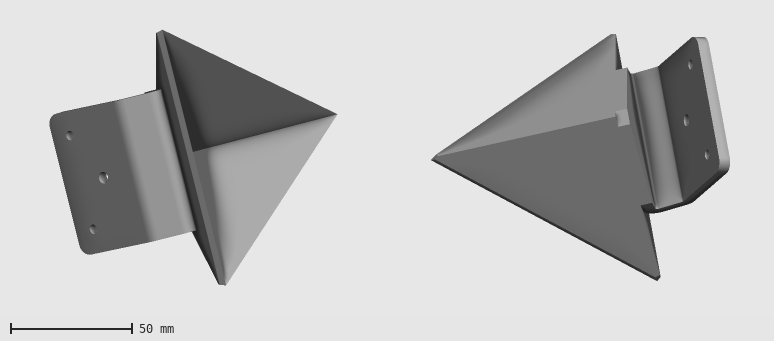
import cadquery as cq
import math

tip_reach = 79.1
plate_thickness = 2.1
rim_bevel = 45.0
rim_slope = math.sqrt(2) * math.tan(math.radians(rim_bevel))
outer_leg = tip_reach - (rim_slope - 1) * plate_thickness
tip_side_slope = 0.3

bracket_thickness = 5.0
bracket_width = 60.0
toe_cut = 4.9
leg_top = 45.5
wall_length = 20.2
wall_tilt = 11.0
flange_length = 39.5
flange_angle = math.degrees(math.atan(math.sqrt(2)))
bend_inner_radius = 1.0
bend_outer_radius = bend_inner_radius + bracket_thickness
flange_corner_radius = 5.0

centre_hole_diameter = 5.0
centre_hole_setback = 21.8
side_hole_diameter = 4.0
side_hole_setback = 9.6
side_hole_spacing = 39.9

section_plane = cq.Plane(origin=(0, 0, 0), xDir=(1, 0, 1), normal=(-1, 0, 1))


def along(point, direction, distance):
    """Point reached by moving a distance along a direction."""
    return (point[0] + direction[0] * distance, point[1] + direction[1] * distance)


def bracket_direction(angle):
    """Unit section direction turned from -Y towards the reflector corner."""
    return (-math.sin(math.radians(angle)), -math.cos(math.radians(angle)))


def inside_corner(outer_corner, direction, turn):
    """Inner corner of a bend, given the direction leaving it and its turn in degrees."""
    inward = (direction[1], -direction[0])
    shift = bracket_thickness * math.tan(math.radians(turn / 2))
    return along(along(outer_corner, inward, bracket_thickness), direction, shift)


def remove_beyond(body, point, normal):
    """Cut away everything on the side of a plane that its normal points to."""
    block = (
        cq.Workplane(cq.Plane(origin=point, normal=normal))
        .rect(4 * tip_reach, 4 * tip_reach)
        .extrude(2 * tip_reach)
    )
    return body.cut(block)


def make_reflector():
    """Corner shell with bevelled rims and obliquely cut tips."""
    shell = cq.Workplane("XY").box(tip_reach, tip_reach, tip_reach, centered=False)
    inset = (plate_thickness, plate_thickness, plate_thickness)
    shell = shell.cut(shell.translate(inset))

    shell = remove_beyond(shell, (outer_leg, 0, 0), (1, -rim_slope, 1))
    shell = remove_beyond(shell, (0, outer_leg, 0), (-rim_slope, 1, 1))
    shell = remove_beyond(shell, (0, outer_leg, 0), (1, 1, -rim_slope))

    near, far = plate_thickness, tip_reach
    shell = remove_beyond(shell, (far, near, near), (1, -tip_side_slope, -rim_slope))
    shell = remove_beyond(shell, (near, far, near), (-rim_slope, 1, -tip_side_slope))
    shell = remove_beyond(shell, (near, near, far), (-rim_slope, -tip_side_slope, 1))
    return shell


def make_bracket():
    """Foot against the reflector, tilted wall and drilled flange."""
    wall_direction = bracket_direction(wall_tilt)
    flange_direction = bracket_direction(flange_angle)
    flange_normal = (flange_direction[1], -flange_direction[0])

    outer_first = (leg_top, 0)
    outer_second = along(outer_first, wall_direction, wall_length)
    outer_end = along(outer_second, flange_direction, flange_length)
    inner_first = inside_corner(outer_first, wall_direction, 90 + wall_tilt)
    inner_second = inside_corner(outer_second, flange_direction, flange_angle - wall_tilt)
    inner_end = along(outer_end, flange_normal, bracket_thickness)
    toe = toe_cut / math.sqrt(2)

    bracket = (
        cq.Workplane(section_plane)
        .polyline([
            (toe, 0), outer_first, outer_second, outer_end,
            inner_end, inner_second, inner_first, (toe, -bracket_thickness),
        ])
        .close()
        .extrude(bracket_width / 2, both=True)
    )

    def bend_edge(corner):
        return cq.selectors.NearestToPointSelector(section_plane.toWorldCoords(corner).toTuple())

    for corner in (outer_first, outer_second):
        bracket = bracket.edges(bend_edge(corner)).fillet(bend_outer_radius)
    for corner in (inner_first, inner_second):
        bracket = bracket.edges(bend_edge(corner)).fillet(bend_inner_radius)

    flange_plane = cq.Plane(
        origin=section_plane.toWorldCoords(outer_end).toTuple(),
        xDir=(1, 0, -1),
        normal=(1, -2, 1),
    )

    for side in (-1, 1):
        end_corner = flange_plane.toWorldCoords((side * bracket_width / 2, 0, -bracket_thickness / 2))
        bracket = bracket.edges(
            cq.selectors.NearestToPointSelector(end_corner.toTuple())
        ).fillet(flange_corner_radius)

    holes = [(0, centre_hole_setback, centre_hole_diameter)]
    for side in (-1, 1):
        holes.append((side * side_hole_spacing / 2, side_hole_setback, side_hole_diameter))
    for across, setback, diameter in holes:
        drill = (
            cq.Workplane(flange_plane)
            .center(across, setback)
            .circle(diameter / 2)
            .extrude(-bracket_thickness)
        )
        bracket = bracket.cut(drill)

    for outward in ((-1, 0, 0), (0, 0, -1)):
        along_face = (-outward[2], 0, -outward[0])
        face_plane = cq.Plane(origin=(0, -bracket_thickness / 2, 0), xDir=along_face, normal=outward)
        trim = (
            cq.Workplane(face_plane)
            .rect(2 * tip_reach, bracket_thickness)
            .extrude(bracket_width)
        )
        bracket = bracket.cut(trim)
    return bracket


reflector = make_reflector()
bracket = make_bracket()
result = cq.Compound.makeCompound([reflector.val(), bracket.val()])